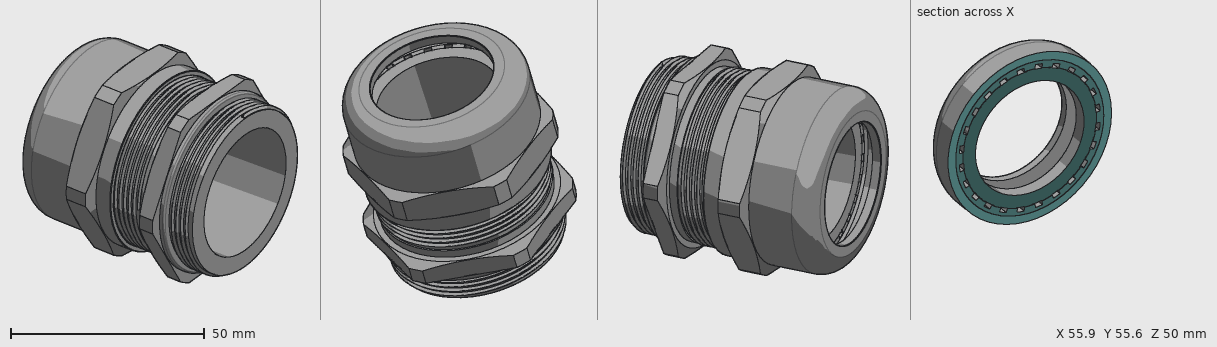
import cadquery as cq


lip_end = 2.5
insert_front = 7.4
slot_end = 15.0
body_front = 20.0
cap_hex_start = 17.85
cap_hex_end = 26.35
cap_end = 31.0
seal_end = cap_end
neck_start = 39.3
body_hex_start = 41.5
body_hex_end = 46.85
gasket_thickness = 1.5
gasket_end = body_hex_end + gasket_thickness
body_end = 55.9

outer_d = 49.6
hex_flats = 50.0
hex_turn = 30.0
cap_corner_d = 55.58
body_corner_d = 55.5
hex_chamfer = 1.15
opening_d = 32.7
lip_chamfer = 0.18
cap_rounding = 5.5
cap_end_chamfer = 0.2
cage_d = 44.6
cage_dish = 0.7
seal_d = 40.3
slot_count = 24
slot_outer_d = 42.6
slot_width = 2.0
body_bore_d = 35.4
neck_d = 46.3
gasket_rounding = 0.5

root_d = 45.36
crest_d = 46.95
pitch = 1.5
ridge_width = 1.0
ridge_sink = 0.1
thread_clearance = 0.15
cap_thread_end = 38.7
cap_thread_turns = 8
cap_thread_end_angle = 270
rear_thread_end = 55.2
rear_thread_turns = 4.25
rear_thread_end_angle = 180


def cylinder(diameter, start, end):
    return cq.Workplane("YZ", origin=(start, 0, 0)).circle(diameter / 2).extrude(end - start)


def ring(outer, inner, start, end):
    return cylinder(outer, start, end).cut(cylinder(inner, start, end))


def hexagon(start, end, corner_d, chamfered_faces):
    """Hexagon with rounded corners and a conical chamfer on each of the chosen end faces."""
    prism = (
        cq.Workplane("YZ", origin=(start, 0, 0))
        .polygon(6, hex_flats, circumscribed=True)
        .extrude(end - start)
        .rotate((0, 0, 0), (1, 0, 0), hex_turn)
    )
    chamfer_depth = (corner_d - outer_d) / 2
    turned = cylinder(corner_d, start, end)
    turned = turned.faces(chamfered_faces).edges().chamfer(hex_chamfer, chamfer_depth)
    return prism.intersect(turned)


def thread_ridge(end, turns, end_angle):
    """Right-handed ridge of pointed section, ending at `end`, `end_angle` degrees from -Z toward +Y."""
    length = turns * pitch
    inner_r = root_d / 2 - ridge_sink
    path = cq.Wire.makeHelix(pitch, length, root_d / 2)
    ridge = (
        cq.Workplane("XZ")
        .polyline([(inner_r, -ridge_width / 2), (crest_d / 2, 0), (inner_r, ridge_width / 2)])
        .close()
        .sweep(cq.Workplane(path), isFrenet=True)
    )
    along_x = ridge.rotate((0, 0, 0), (0, 1, 0), 90)
    start_angle = end_angle - 360 * turns
    return along_x.rotate((0, 0, 0), (1, 0, 0), start_angle).translate((end - length, 0, 0))


def build_body():
    body = cylinder(root_d, body_front, body_end)
    body = body.union(cylinder(neck_d, neck_start, body_hex_start))
    body = body.union(hexagon(body_hex_start, body_hex_end, body_corner_d, "<X"))
    body = body.cut(cylinder(body_bore_d, body_front, body_end))
    body = body.cut(cylinder(seal_d, body_front, seal_end))
    body = body.union(thread_ridge(cap_thread_end, cap_thread_turns, cap_thread_end_angle))
    return body.union(thread_ridge(rear_thread_end, rear_thread_turns, rear_thread_end_angle))


def build_cap():
    cap = cylinder(outer_d, 0, cap_end).faces("<X").edges().fillet(cap_rounding)
    cap = cap.faces(">X").edges().chamfer(cap_end_chamfer)
    cap = cap.union(hexagon(cap_hex_start, cap_hex_end, cap_corner_d, "<X or >X"))
    cap = cap.cut(cylinder(opening_d, 0, lip_end))
    cap = cap.cut(cylinder(cage_d, lip_end, body_front))
    cap = cap.cut(cylinder(crest_d + thread_clearance, body_front, cap_end))
    opening_edge = cap.faces("<X").edges(cq.selectors.RadiusNthSelector(0))
    return opening_edge.chamfer(lip_chamfer)


def build_cage():
    """Sleeve around the seal, with a dished front and slots along the inside of its wall."""
    rim = insert_front - cage_dish
    dish_floor_r = cage_d / 2 - cage_dish
    cage = (
        cq.Workplane("XY")
        .polyline([
            (rim, cage_d / 2),
            (body_front, cage_d / 2),
            (body_front, seal_d / 2),
            (insert_front, seal_d / 2),
            (insert_front, dish_floor_r),
        ])
        .close()
        .revolve(360, (0, 0, 0), (1, 0, 0))
    )
    slot_limit = cylinder(slot_outer_d, insert_front, slot_end)
    slot_spacing = 360 / slot_count
    for i in range(slot_count):
        slot = (
            cq.Workplane("XY")
            .box(slot_end - insert_front, cage_d, slot_width, centered=(False, False, True))
            .translate((insert_front, 0, 0))
            .rotate((0, 0, 0), (1, 0, 0), (i + 0.5) * slot_spacing)
        )
        cage = cage.cut(slot.intersect(slot_limit))
    return cage


def build_seal():
    return ring(seal_d, opening_d, insert_front, seal_end)


def build_gasket():
    gasket = cylinder(outer_d, body_hex_end, gasket_end).faces(">X").edges().fillet(gasket_rounding)
    return gasket.cut(cylinder(root_d, body_hex_end, gasket_end))


cap = build_cap()
cage = build_cage()
seal = build_seal()
body = build_body()
gasket = build_gasket()

result = cq.Compound.makeCompound([cap.val(), cage.val(), seal.val(), body.val(), gasket.val()])